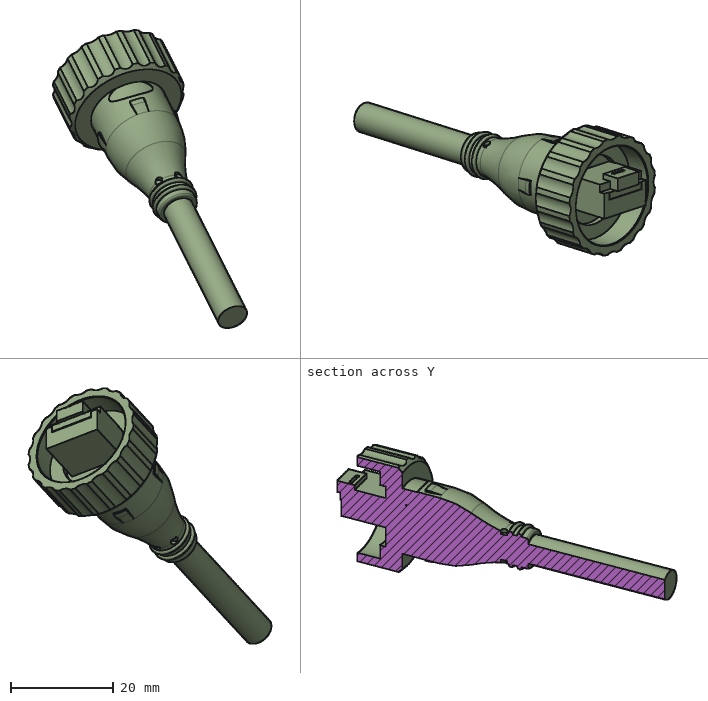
import cadquery as cq
import math

total_length = 72.0

collar_start = 4.4
collar_end = 14.4
collar_radius = 12.0
collar_chamfer = 0.9
flute_count = 20
flute_half_width = 1.3
flute_floor_radius = 11.6

cavity_radius = 10.0
cavity_floor = 9.35
cavity_mouth_chamfer = 0.15
recess_radius = 7.05
recess_floor = 10.65

body_radius = 7.8
body_end = 22.5
taper_middle = 29.45
taper_middle_radius = 6.3
neck_start = 36.6
neck_radius = 4.0
neck_end = 42.05
neck_end_fillet = 0.4
cable_radius = 3.0

ring_places = [38.1, 40.0]
ring_radius = 4.5
ring_half_width = 0.5

hole_diameter = 1.4
hole_x = 36.65
hole_offset = 2.0
hole_floor = 2.95

tab_count = 4
tab_start = 19.1
tab_flat_end = 20.15
tab_radius = 8.1
tab_front_half_width = 1.45
tab_back_half_width = 1.2

label_x = 15.9
label_half_length = 1.9
label_half_width = 4.5
label_depth = 0.1

plug_front = 0.9
plug_half_width = 5.75
plug_bottom = -2.5
plug_top = 4.25
ledge_back = 2.1
ledge_height = 2.7

pad_front = 0.65
pad_half_width = 4.5
pad_bottom = 1.15

latch_end = 3.9
latch_half_width = 2.95
latch_top = 5.3
latch_slot_start = 2.4
latch_slot_end = 3.0
latch_slot_half_width = 1.5

axis_start = (0, 0, 0)
axis_end = (1, 0, 0)


def around_axis(profile):
    """Revolve a closed XY profile about the X axis."""
    return profile.close().revolve(360, axis_start, axis_end)


def cylinder(x_start, x_end, radius):
    return cq.Workplane("YZ", origin=(x_start, 0, 0)).circle(radius).extrude(x_end - x_start)


def box(x_start, x_end, half_width, z_bottom, z_top):
    """Box that is symmetric about the XZ plane."""
    size = (x_end - x_start, 2 * half_width, z_top - z_bottom)
    return cq.Workplane("XY").box(*size, centered=(False, True, False)).translate((x_start, 0, z_bottom))


def make_collar():
    collar = cylinder(collar_start, collar_end, collar_radius).faces(">X").chamfer(collar_chamfer)

    crest_height = math.sqrt(collar_radius**2 - flute_half_width**2)
    flute_depth = crest_height - flute_floor_radius
    flute_radius = (flute_half_width**2 + flute_depth**2) / (2 * flute_depth)
    flute = cylinder(collar_start, collar_end, flute_radius)
    flute = flute.translate((0, 0, flute_floor_radius + flute_radius))
    for index in range(flute_count):
        collar = collar.cut(flute.rotate(axis_start, axis_end, index * 360 / flute_count))
    return collar


def make_body():
    profile = (
        cq.Workplane("XY")
        .moveTo(collar_start, 0)
        .lineTo(collar_start, body_radius)
        .lineTo(body_end, body_radius)
        .tangentArcPoint((taper_middle, taper_middle_radius), relative=False)
        .tangentArcPoint((neck_start, neck_radius), relative=False)
        .lineTo(neck_end, neck_radius)
        .lineTo(neck_end, 0)
    )
    return around_axis(profile).faces(">X").edges().fillet(neck_end_fillet)


def make_ring(x):
    centre_radius = ring_radius - ring_half_width
    profile = cq.Workplane("XY").center(x, centre_radius).circle(ring_half_width)
    return profile.revolve(360, (-x, -centre_radius, 0), (0.7 - x, -centre_radius, 0))


def make_cavity():
    mouth_radius = cavity_radius + cavity_mouth_chamfer
    profile = (
        cq.Workplane("XY")
        .moveTo(collar_start, 0)
        .lineTo(collar_start, mouth_radius)
        .lineTo(collar_start + cavity_mouth_chamfer, cavity_radius)
        .lineTo(cavity_floor, cavity_radius)
        .lineTo(cavity_floor, recess_radius)
        .lineTo(recess_floor, recess_radius)
        .lineTo(recess_floor, 0)
    )
    return around_axis(profile)


def make_tab():
    """Tab on top of the body: flat at the front, then sloping down to the body surface."""
    profile = (
        cq.Workplane("XY")
        .moveTo(tab_start, 0)
        .lineTo(tab_start, tab_radius)
        .lineTo(tab_flat_end, tab_radius)
        .lineTo(body_end, body_radius)
        .lineTo(body_end, 0)
    )
    outline = [
        (tab_start, tab_front_half_width),
        (tab_flat_end, tab_front_half_width),
        (body_end, tab_back_half_width),
        (body_end, -tab_back_half_width),
        (tab_flat_end, -tab_front_half_width),
        (tab_start, -tab_front_half_width),
    ]
    prism = cq.Workplane("XY").polyline(outline).close().extrude(tab_radius)
    return around_axis(profile).intersect(prism)


def make_label_field():
    oval = (
        cq.Workplane("XY")
        .center(label_x, 0)
        .ellipse(label_half_length, label_half_width)
        .extrude(body_radius)
    )
    field_start = max(collar_end, label_x - label_half_length)
    field_end = label_x + label_half_length
    core = cylinder(field_start, field_end, body_radius - label_depth)
    shell = cylinder(field_start, field_end, body_radius).cut(core)
    return oval.intersect(shell)


def make_neck_holes():
    places = [(hole_x, -hole_offset), (hole_x, hole_offset)]
    top_holes = (
        cq.Workplane("XY", origin=(0, 0, hole_floor))
        .pushPoints(places)
        .circle(hole_diameter / 2)
        .extrude(ring_radius - hole_floor)
    )
    return top_holes.union(top_holes.mirror("XY"))


def make_plug():
    plug = box(plug_front, recess_floor, plug_half_width, plug_bottom, plug_top)
    plug = plug.cut(box(plug_front, ledge_back, plug_half_width, ledge_height, plug_top))
    pad = box(pad_front, plug_front, pad_half_width, pad_bottom, ledge_height)
    latch = box(0, latch_end, latch_half_width, ledge_height, latch_top)
    slot = box(latch_slot_start, latch_slot_end, latch_slot_half_width, plug_top, latch_top)
    return plug.union(pad).union(latch.cut(slot))


result = make_collar().union(make_body())
for ring_x in ring_places:
    result = result.union(make_ring(ring_x))
result = result.cut(make_neck_holes()).cut(make_label_field()).cut(make_cavity())

tab = make_tab()
for tab_index in range(tab_count):
    result = result.union(tab.rotate(axis_start, axis_end, tab_index * 360 / tab_count))

result = result.union(cylinder(neck_start, total_length, cable_radius)).union(make_plug())